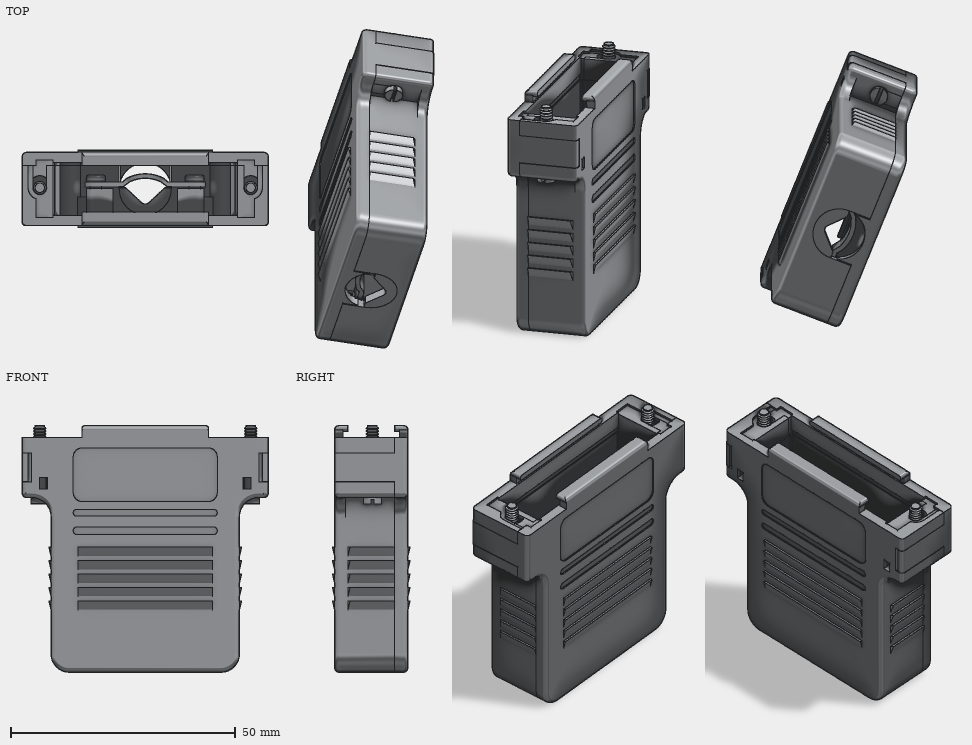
import cadquery as cq

SIDES = (-1, 1)

height = 52.35
half_width = 27.45
neck_half_width = 21.0
half_depth = 8.17
shoulder_z = 38.9
shoulder_radius = 1.1
neck_radius = 4.25
bottom_radius = 4.1
edge_radius = 1.05
split_y = 5.2

mouth_half_width = 20.6
mouth_depth = 5.4
mouth_groove_height = 1.25
mouth_groove_depth = 0.3
hollow_half_width = 20.2
hollow_half_depth = 5.9
wall = 2.0
neck_inside = neck_half_width - wall
hollow_slope = 1.3
inner_bottom_radius = bottom_radius - wall
pillar_x = 16.75
pillar_z = 4.5
pillar_radius = 2.3
gusset_inner_y = -5.75

lip_half_length = 14.1
lip_top = 55.0
hook_height = 1.35
lip_stem = 1.9
lip_end_radius = 0.62
lip_edge_radius = 1.0

seat_depth = 0.5
seat_outer_x = 24.3
seat_y = (-6.4, 6.45)
relief_radius = 2.6

screw_x = 23.5
screw_y = 0.25
thread_radius = 1.42
thread_root_radius = 1.05
thread_pitch = 0.635
thread_turns = 7
jack_head_radius = 2.0
jack_head_height = 1.35
jack_slot_width = 0.7
jack_slot_depth = 1.0
channel_half_width = 1.5
tongue_end_y = 2.3
tongue_arch = 0.65
tongue_collar_height = 2.0
window_x = (21.8, 23.6)
window_z = (40.85, 43.4)

tab_z = (42.4, 48.85)
tab_clearance = 0.1
tab_inner_x = 26.1
tab_radius = 0.75
pry_inner_x = 25.4
pry_depth = 1.2

mark_half_length = 16.05
mark_depth = 0.3
label_z = (38.05, 50.0)
label_radius = 2.0
groove_bands = ((34.8, 36.3), (30.7, 32.4))
groove_end_share = 0.49
rib_count = 5
rib_top = 27.9
rib_pitch = 3.0
rib_height = 2.0
rib_reach = 0.48
rib_half_length = 15.0
side_rib_end_y = -5.2
side_rib_end_slope = 0.5

cable_radius = 5.8
tongue_half_width = 5.55
insert_top_y = 0.3
notch_half_width = 4.4
notch_depth = 4.15
notch_radius = 1.3
post_x = (7.15, 13.1)
post_top = 11.0
post_slope_x = 11.5
post_slope_drop = 1.0
post_top_y = 0.05
gusset_x = 15.1
gusset_z = (6.8, 8.3)
gusset_top_y = -1.8
clamp_x = 11.0
clamp_z = 6.0
strap_end_radius = 2.45
strap_bottom_y = 0.45
strap_thickness = 1.1
arch_foot_x = (4.95, 5.05)
arch_shoulder_x = (3.4, 4.15)
arch_shoulder_y = (1.6, 2.35)
arch_top_y = (2.35, 3.4)
clamp_shank_radius = 1.3
clamp_shank_length = 4.0
clamp_head_radius = 2.15
clamp_head_height = 1.5
clamp_head_round = 0.45
clamp_slot_width = 0.7
clamp_slot_depth = 0.8


def box(x, y, z):
    """Box between pairs of limits."""
    size = [abs(b - a) for a, b in (x, y, z)]
    start = tuple(min(pair) for pair in (x, y, z))
    return cq.Workplane().box(*size, centered=False).translate(start)


def side_box(side, x, y, z):
    """Box whose X limits are counted outward on one side."""
    return box((side * x[0], side * x[1]), y, z)


def plate_xz(sketch, y_start, y_end):
    """Extrudes a closed XZ outline between two depths; the workplane's normal is -Y."""
    return sketch.extrude(y_start - y_end).translate((0, y_start, 0))


def cylinder_y(x, z, radius, y_start, y_end):
    return plate_xz(cq.Workplane("XZ").center(x, z).circle(radius), y_start, y_end)


def both_sides(body):
    return body.union(body.mirror("YZ"))


def hood_block():
    half = (
        cq.Workplane("XZ")
        .moveTo(0, height)
        .lineTo(half_width, height)
        .lineTo(half_width, shoulder_z + shoulder_radius)
        .radiusArc((half_width - shoulder_radius, shoulder_z), shoulder_radius)
        .lineTo(neck_half_width + neck_radius, shoulder_z)
        .radiusArc((neck_half_width, shoulder_z - neck_radius), -neck_radius)
        .lineTo(neck_half_width, bottom_radius)
        .radiusArc((neck_half_width - bottom_radius, 0), bottom_radius)
        .lineTo(0, 0)
        .close()
    )
    block = both_sides(plate_xz(half, -half_depth, half_depth)).clean()
    rim = block.faces("<Y or >Y").edges()
    below_top = [edge for edge in rim.vals() if edge.Center().z < height - edge_radius / 2]
    return block.newObject(below_top).fillet(edge_radius)


def hollow():
    """Room inside the hood: a wide mouth, then a neck with rounded bottom corners."""
    step_z = height - mouth_depth
    half = (
        cq.Workplane("XZ")
        .moveTo(0, step_z)
        .lineTo(hollow_half_width, step_z)
        .lineTo(hollow_half_width, shoulder_z)
        .lineTo(neck_inside, shoulder_z - hollow_slope)
        .lineTo(neck_inside, wall + inner_bottom_radius)
        .radiusArc((neck_inside - inner_bottom_radius, wall), inner_bottom_radius)
        .lineTo(0, wall)
        .close()
    )
    room = both_sides(plate_xz(half, -hollow_half_depth, hollow_half_depth))
    width = (-mouth_half_width, mouth_half_width)
    mouth = box(width, (-hollow_half_depth, hollow_half_depth), (step_z, height))
    groove_depth = hollow_half_depth + mouth_groove_depth
    groove = box(width, (-groove_depth, groove_depth), (step_z, step_z + mouth_groove_height))
    return room.union(mouth).union(groove)


def pillar(side, y_start, y_end):
    """Part of a pillar that runs between the two large walls."""
    return cylinder_y(side * pillar_x, pillar_z, pillar_radius, y_start, y_end)


def lip():
    """Hooked lip at the +Y wall."""
    hook_bottom = lip_top - hook_height
    length = (-lip_half_length, lip_half_length)
    hook = box(length, (split_y, half_depth), (hook_bottom, lip_top))
    hook = hook.edges("|Y").fillet(lip_end_radius)
    stem = box(length, (half_depth - lip_stem, half_depth), (height, lip_top - lip_edge_radius))
    rounding = (
        cq.Workplane("YZ")
        .moveTo(split_y, height)
        .lineTo(half_depth, height)
        .lineTo(half_depth, lip_top - lip_edge_radius)
        .radiusArc((half_depth - lip_edge_radius, lip_top), -lip_edge_radius)
        .lineTo(split_y, lip_top)
        .close()
        .extrude(lip_half_length, both=True)
    )
    return hook.union(stem).intersect(rounding)


def face_ribs():
    """Sawtooth ribs on the +Y face."""
    ribs = cq.Workplane()
    for index in range(rib_count):
        top = rib_top - index * rib_pitch
        ribs = ribs.union(
            cq.Workplane("YZ")
            .polyline([
                (half_depth, top),
                (half_depth + rib_reach, top),
                (half_depth, top - rib_height),
            ])
            .close()
            .extrude(rib_half_length, both=True)
        )
    return ribs


def side_ribs():
    """Sawtooth ribs on the +X flank of the shell."""
    ribs = cq.Workplane()
    for index in range(rib_count):
        top = rib_top - index * rib_pitch
        tooth = cq.Workplane("XZ").polyline([
            (neck_half_width, top),
            (neck_half_width + rib_reach, top),
            (neck_half_width, top - rib_height),
        ]).close()
        ribs = ribs.union(plate_xz(tooth, side_rib_end_y, split_y))
    tip_x = neck_half_width + rib_reach
    outline = (
        cq.Workplane()
        .polyline([
            (neck_half_width, side_rib_end_y),
            (tip_x, side_rib_end_y + side_rib_end_slope),
            (tip_x, split_y),
            (neck_half_width, split_y),
        ])
        .close()
        .extrude(rib_top)
    )
    return ribs.intersect(outline)


def face_marks():
    """Label field and two grooves sunk into the +Y face."""
    fields = [(label_z, label_radius)]
    fields += [(band, groove_end_share * (band[1] - band[0])) for band in groove_bands]
    marks = cq.Workplane()
    for limits, radius in fields:
        field = box(
            (-mark_half_length, mark_half_length),
            (half_depth - mark_depth, half_depth),
            limits,
        )
        marks = marks.union(field.edges("|Y").fillet(radius))
    return marks


def connector_seat(side):
    """Shallow seat in the connector face, with a rounded relief around the jackscrew."""
    depth = (height - seat_depth, height)
    seat = side_box(side, (mouth_half_width, seat_outer_x), seat_y, depth)
    relief_x = (mouth_half_width, screw_x + relief_radius)
    relief = side_box(side, relief_x, (screw_y - relief_radius, split_y), depth)
    relief = relief.edges("|Z").edges("<Y").edges(">X" if side > 0 else "<X").fillet(relief_radius)
    return seat.union(relief)


def screw_channel(side):
    """Round-bottomed channel for a jackscrew, open towards the cover."""
    span = (shoulder_z, height)
    channel = side_box(
        side, (screw_x - channel_half_width, screw_x + channel_half_width), (screw_y, split_y), span
    )
    bottom = (
        cq.Workplane()
        .circle(channel_half_width)
        .extrude(height - shoulder_z)
        .translate((side * screw_x, screw_y, shoulder_z))
    )
    return channel.union(bottom)


def tab_recess(side):
    """Recess for a snap tab, flared at the front so that the tab can be pried off."""
    recess = side_box(side, (tab_inner_x, half_width), (-half_depth, split_y), tab_z)
    flare = (
        cq.Workplane("XY")
        .polyline([
            (side * tab_inner_x, -half_depth),
            (side * pry_inner_x, -half_depth),
            (side * tab_inner_x, -half_depth + pry_depth),
        ])
        .close()
        .extrude(tab_z[1] - tab_z[0])
        .translate((0, 0, tab_z[0]))
    )
    return recess.union(flare)


def clamp_post(side):
    """Post under one end of the strap, with a sloped top and a lower gusset outside."""
    slope_z = post_top - post_slope_drop
    corner = post_x[1] - post_slope_x
    post = (
        cq.Workplane("XZ")
        .moveTo(post_x[0], wall)
        .lineTo(post_x[0], post_top)
        .lineTo(post_slope_x, slope_z)
        .radiusArc((post_x[1], slope_z - corner), corner)
        .lineTo(post_x[1], wall)
        .close()
    )
    gusset = cq.Workplane("XZ").polyline([
        (post_x[1], wall),
        (post_x[1], gusset_z[1]),
        (gusset_x, gusset_z[0]),
        (gusset_x, wall),
    ]).close()
    post = plate_xz(post, -hollow_half_depth, post_top_y)
    post = post.union(plate_xz(gusset, -hollow_half_depth, gusset_top_y))
    hole = cylinder_y(
        clamp_x, clamp_z, clamp_shank_radius, strap_bottom_y - clamp_shank_length, post_top_y
    )
    post = post.cut(hole)
    return post if side > 0 else post.mirror("YZ")


def cable_disc(radius):
    return cq.Workplane().circle(radius).extrude(wall)


def make_shell():
    front = box((-half_width, half_width), (-half_depth, split_y), (0, height))
    shell = hood_block().intersect(front)
    for side in SIDES:
        shell = shell.cut(
            side_box(
                side,
                (neck_half_width, half_width),
                (gusset_inner_y, split_y),
                (shoulder_z - neck_radius, shoulder_z),
            )
        )
    shell = shell.cut(hollow()).cut(face_marks().mirror("XZ"))
    shell = shell.union(lip().mirror("XZ")).union(face_ribs().mirror("XZ"))
    shell = shell.union(both_sides(side_ribs()))
    for side in SIDES:
        shell = shell.union(clamp_post(side)).union(pillar(side, -hollow_half_depth, split_y))
        shell = shell.cut(connector_seat(side)).cut(screw_channel(side)).cut(tab_recess(side))
        shell = shell.cut(side_box(side, window_x, (-half_depth, screw_y), window_z))
    cable_slot = box((-cable_radius, cable_radius), (0, split_y), (0, wall))
    return shell.cut(cable_slot).cut(cable_disc(cable_radius))


def channel_tongue(side):
    """Tongue that closes a screw channel, with a hollow end next to the screw."""
    inner = screw_x - channel_half_width
    outer = screw_x + channel_half_width
    tongue = (
        cq.Workplane("XY")
        .moveTo(side * inner, split_y)
        .lineTo(side * inner, tongue_end_y)
        .threePointArc((side * screw_x, tongue_end_y + tongue_arch), (side * outer, tongue_end_y))
        .lineTo(side * outer, split_y)
        .close()
        .extrude(height - seat_depth - shoulder_z)
        .translate((0, 0, shoulder_z))
    )
    collar_z = (shoulder_z, shoulder_z + tongue_collar_height)
    collar = side_box(side, (inner, outer), (screw_y, split_y), collar_z)
    bore = (
        cq.Workplane()
        .circle(thread_radius)
        .extrude(height)
        .translate((side * screw_x, screw_y, 0))
    )
    return tongue.union(collar.cut(bore))


def snap_tab(side):
    tab = side_box(
        side, (tab_inner_x, half_width), (-half_depth, split_y), (tab_z[0] + tab_clearance, tab_z[1])
    )
    return tab.edges("|Z").edges("<Y").edges(">X" if side > 0 else "<X").fillet(tab_radius)


def make_cover():
    back = box((-half_width, half_width), (split_y, half_depth), (0, height))
    cover = hood_block().intersect(back).cut(hollow()).cut(face_marks())
    cover = cover.union(lip()).union(face_ribs())
    for side in SIDES:
        cover = cover.cut(connector_seat(side)).union(pillar(side, split_y, hollow_half_depth))
        cover = cover.union(channel_tongue(side)).union(snap_tab(side))
    cable_tongue = box((-tongue_half_width, tongue_half_width), (0, split_y), (0, wall))
    return cover.union(cable_tongue).cut(cable_disc(cable_radius))


def make_insert():
    """Lower half of the cable opening, with a V notch for the cable."""
    insert = cable_disc(cable_radius).intersect(
        box((-cable_radius, cable_radius), (-cable_radius, 0), (0, wall))
    )
    insert = insert.union(box((-cable_radius, cable_radius), (0, insert_top_y), (0, wall)))
    notch = (
        cq.Workplane()
        .polyline([
            (-notch_half_width, insert_top_y),
            (0, insert_top_y - notch_depth),
            (notch_half_width, insert_top_y),
        ])
        .close()
        .extrude(wall)
        .edges("|Z")
        .edges("<Y")
        .fillet(notch_radius)
    )
    return insert.cut(notch)


def make_strap():
    """Arched strap with round ends and a hole at each end."""
    end_x = clamp_x + strap_end_radius
    top_y = strap_bottom_y + strap_thickness
    profile = (
        cq.Workplane()
        .moveTo(-end_x, strap_bottom_y)
        .lineTo(-arch_foot_x[0], strap_bottom_y)
        .lineTo(-arch_shoulder_x[0], arch_shoulder_y[0])
        .threePointArc((0, arch_top_y[0]), (arch_shoulder_x[0], arch_shoulder_y[0]))
        .lineTo(arch_foot_x[0], strap_bottom_y)
        .lineTo(end_x, strap_bottom_y)
        .lineTo(end_x, top_y)
        .lineTo(arch_foot_x[1], top_y)
        .lineTo(arch_shoulder_x[1], arch_shoulder_y[1])
        .threePointArc((0, arch_top_y[1]), (-arch_shoulder_x[1], arch_shoulder_y[1]))
        .lineTo(-arch_foot_x[1], top_y)
        .lineTo(-end_x, top_y)
        .close()
    )
    strap = profile.extrude(2 * strap_end_radius).translate((0, 0, clamp_z - strap_end_radius))
    outline = cq.Workplane("XZ").center(0, clamp_z).slot2D(2 * end_x, 2 * strap_end_radius)
    strap = strap.intersect(plate_xz(outline, strap_bottom_y, arch_top_y[1]))
    for side in SIDES:
        hole = cylinder_y(side * clamp_x, clamp_z, clamp_shank_radius, strap_bottom_y, top_y)
        strap = strap.cut(hole)
    return strap


def make_clamp_screw(side):
    seat_plane = strap_bottom_y + strap_thickness
    head_top = seat_plane + clamp_head_height
    x = side * clamp_x
    head = cylinder_y(x, clamp_z, clamp_head_radius, seat_plane, head_top)
    head = head.faces(">Y or <Y").edges().fillet(clamp_head_round)
    slot = box(
        (x - clamp_head_radius, x + clamp_head_radius),
        (head_top - clamp_slot_depth, head_top),
        (clamp_z - clamp_slot_width / 2, clamp_z + clamp_slot_width / 2),
    )
    shank_end = strap_bottom_y - clamp_shank_length
    shank = cylinder_y(x, clamp_z, clamp_shank_radius, shank_end, seat_plane)
    return head.cut(slot).union(shank)


def make_jackscrew(side):
    """Slotted screw with its head under the shoulder and a thread at its upper end."""
    thread_start = lip_top - thread_turns * thread_pitch
    profile = (
        cq.Workplane("XZ")
        .moveTo(0, shoulder_z - jack_head_height)
        .lineTo(jack_head_radius, shoulder_z - jack_head_height)
        .lineTo(jack_head_radius, shoulder_z)
        .lineTo(thread_radius, shoulder_z)
        .lineTo(thread_radius, thread_start)
    )
    for turn in range(thread_turns):
        base = thread_start + turn * thread_pitch
        profile = profile.lineTo(thread_root_radius, base + thread_pitch / 2)
        if turn < thread_turns - 1:
            profile = profile.lineTo(thread_radius, base + thread_pitch)
    outline = profile.lineTo(thread_root_radius, lip_top).lineTo(0, lip_top).close()
    screw = outline.revolve(360, (0, 0, 0), (0, 1, 0))
    head_bottom = shoulder_z - jack_head_height
    slot = box(
        (-jack_head_radius, jack_head_radius),
        (-jack_slot_width / 2, jack_slot_width / 2),
        (head_bottom, head_bottom + jack_slot_depth),
    )
    return screw.cut(slot).translate((side * screw_x, screw_y, 0))


shell = make_shell()
cover = make_cover()
insert = make_insert()
strap = make_strap()
clamp_screws = [make_clamp_screw(side).val() for side in SIDES]
jackscrews = [make_jackscrew(side).val() for side in SIDES]

result = cq.Compound.makeCompound(
    [shell.val(), cover.val(), insert.val(), strap.val(), *clamp_screws, *jackscrews]
)